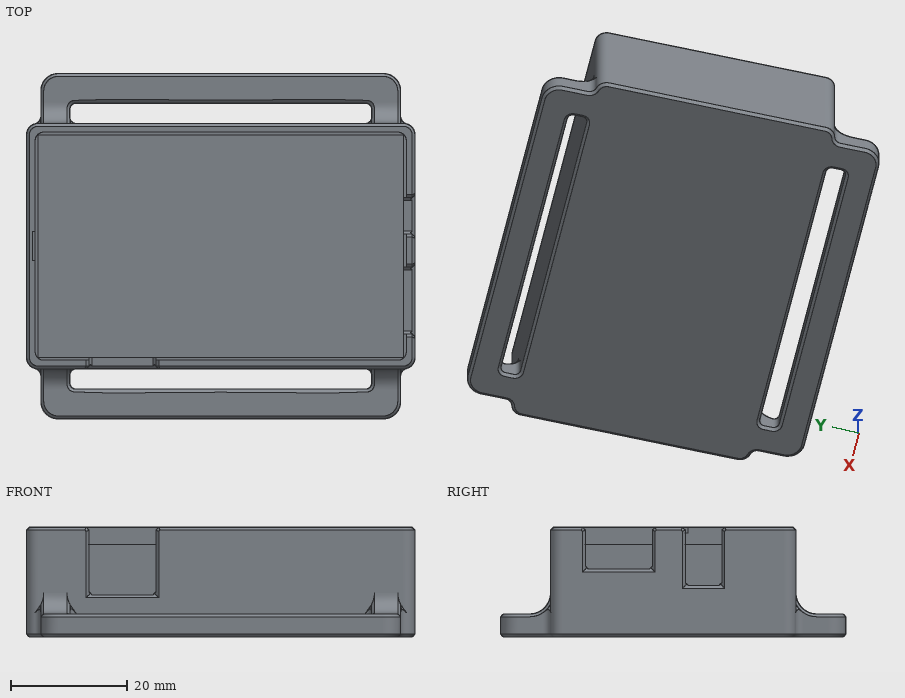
import cadquery as cq
import math

LENGTH = 66.8
WIDTH = 42.2
HEIGHT = 18.9
CORNER_RADIUS = 2.0
WALL = 2.0
FLOOR = 1.5
BEVEL = 0.5

REBATE_INSET = 0.5
REBATE_DEPTH = 3.0
REBATE_CORNER_RADIUS = 1.5
PRY_NOTCH_INSET = 0.5
PRY_NOTCH_WIDTH = 5.0
PRY_NOTCH_DEPTH = 1.0

FRONT_OPENING = (-22.65, -11.15, 7.3)
SIDE_OPENINGS = ((-15.1, -3.6, 11.7), (2.1, 8.35, 8.9))

LOOP_SPAN_Y = 59.4
LOOP_LENGTH = 61.85
LOOP_HEIGHT = 4.0
LOOP_CORNER_RADIUS = 3.0
SLOT_LENGTH = 51.85
LOOP_BAR_WIDTH = 5.15
SLOT_CORNER_RADIUS = 1.0
ARM_SWEEP_RADIUS = 3.55
OUTER_ROOT_RADIUS = 1.35
ROOT_TIP_HEIGHT = 4.15

HALF_LENGTH = LENGTH / 2
HALF_WIDTH = WIDTH / 2
SWEEP_CENTRE = (HALF_WIDTH + ARM_SWEEP_RADIUS, LOOP_HEIGHT + ARM_SWEEP_RADIUS)
BEVEL_SWEEP_RADIUS = ARM_SWEEP_RADIUS + BEVEL
CUT_PAST = 3.35
TOLERANCE = 0.01
EMBED = WALL / 2


def rounded_block(length, width, height, radius):
    return cq.Workplane().rect(length, width).extrude(height).edges("|Z").fillet(radius)


def opening_cutter(start, end, sill, depth):
    """Opening in the XZ plane, flared at the rim and reaching from Y = 0 toward -Y."""
    top = HEIGHT + CUT_PAST
    flare = BEVEL + CUT_PAST
    return (
        cq.Workplane("XZ")
        .polyline([
            (start, sill),
            (end, sill),
            (end, HEIGHT - BEVEL),
            (end + flare, top),
            (start - flare, top),
            (start, HEIGHT - BEVEL),
        ])
        .close()
        .extrude(depth)
    )


def is_outside_edge(edge):
    """True for edges above the base that lie on the outer wall faces."""
    if edge.BoundingBox().zmin < BEVEL:
        return False
    return all(
        abs(abs(corner.X) - HALF_LENGTH) < TOLERANCE or abs(abs(corner.Y) - HALF_WIDTH) < TOLERANCE
        for corner in edge.Vertices()
    )


def is_sill_corner(edge):
    """True for the edges through the wall at both ends of an opening's sill."""
    sills = [FRONT_OPENING[2]] + [opening[2] for opening in SIDE_OPENINGS]
    at_sill = any(abs(edge.Center().z - sill) < TOLERANCE for sill in sills)
    return at_sill and edge.Length() < WALL


def build_case():
    """Open box with bevelled rim and connector openings."""
    case = rounded_block(LENGTH, WIDTH, HEIGHT, CORNER_RADIUS)
    inset = WALL + CUT_PAST
    depth = inset + CUT_PAST
    front_cutter = opening_cutter(*FRONT_OPENING, depth)
    case = case.cut(front_cutter.translate((0, inset - HALF_WIDTH, 0)))
    for opening in SIDE_OPENINGS:
        side_cutter = opening_cutter(*opening, depth).rotate((0, 0, 0), (0, 0, 1), 90)
        case = case.cut(side_cutter.translate((HALF_LENGTH - inset, 0, 0)))
    rim_and_openings = [edge for edge in case.edges().vals() if is_outside_edge(edge)]
    case = case.newObject(rim_and_openings).chamfer(BEVEL)
    case = case.cut(build_cavity())
    sill_corners = [edge for edge in case.edges("|X or |Y").vals() if is_sill_corner(edge)]
    return case.newObject(sill_corners).chamfer(BEVEL)


def build_cavity():
    """Inside of the case, with the rebate and pry notch at the rim."""
    cavity_length = LENGTH - 2 * WALL
    cavity_width = WIDTH - 2 * WALL
    cavity = (
        cq.Workplane(origin=(0, 0, FLOOR))
        .rect(cavity_length, cavity_width)
        .extrude(HEIGHT - FLOOR)
    )
    rebate_length = cavity_length + 2 * REBATE_INSET
    rebate_width = cavity_width + 2 * REBATE_INSET
    rebate = rounded_block(rebate_length, rebate_width, REBATE_DEPTH, REBATE_CORNER_RADIUS)
    cavity = cavity.union(rebate.translate((0, 0, HEIGHT - REBATE_DEPTH)))
    pry_notch = (
        cq.Workplane(origin=(-rebate_length / 2, 0, HEIGHT))
        .rect(2 * PRY_NOTCH_INSET, PRY_NOTCH_WIDTH)
        .extrude(-PRY_NOTCH_DEPTH)
    )
    return cavity.union(pry_notch)


def is_loop_top_outline(edge):
    """True for the upper edges of a loop, except the seams that run across its arms."""
    box = edge.BoundingBox()
    arm_width = (LOOP_LENGTH - SLOT_LENGTH) / 2
    crosses_arm = abs(box.xlen - arm_width) < TOLERANCE and edge.geomType() == "LINE"
    return box.zmin > LOOP_HEIGHT - TOLERANCE and not crosses_arm


def bevelled_sweep_height(y):
    """Height of the lower edge of the bevel along an arm's sweep."""
    return SWEEP_CENTRE[1] - math.sqrt(BEVEL_SWEEP_RADIUS**2 - (SWEEP_CENTRE[0] - y) ** 2)


def root_slope_cutter(arm_x, tip_x, start_y):
    """Half-space above the plane on which a root falls away from the arm to its tip on the wall."""
    wall_height = bevelled_sweep_height(HALF_WIDTH)
    slope_x = (wall_height - ROOT_TIP_HEIGHT) / (arm_x - tip_x)
    slope_y = (bevelled_sweep_height(start_y) - wall_height) / (start_y - HALF_WIDTH)
    slope_plane = cq.Plane(
        origin=(arm_x, HALF_WIDTH, wall_height),
        xDir=(1, 0, slope_x),
        normal=(-slope_x, -slope_y, 1),
    )
    return cq.Workplane(slope_plane).rect(HEIGHT, HEIGHT).extrude(2 * HEIGHT)


def build_arm_roots():
    """Fillets in plan where the sides of both arms meet the case, sloping away from the arms."""
    embedded_y = HALF_WIDTH - EMBED
    inner_x = SLOT_LENGTH / 2
    outer_x = LOOP_LENGTH / 2
    overlap_x = BEVEL

    inner_tip_x = inner_x - SLOT_CORNER_RADIUS
    inner_start_y = HALF_WIDTH + SLOT_CORNER_RADIUS
    inner_mid = SLOT_CORNER_RADIUS * (1 - math.sqrt(0.5))
    inner_plan = (
        cq.Workplane()
        .moveTo(inner_x, inner_start_y)
        .threePointArc((inner_x - inner_mid, HALF_WIDTH + inner_mid), (inner_tip_x, HALF_WIDTH))
        .lineTo(inner_tip_x, embedded_y)
        .lineTo(inner_x + overlap_x, embedded_y)
        .lineTo(inner_x + overlap_x, inner_start_y)
        .close()
        .extrude(SWEEP_CENTRE[1])
    )

    corner_x = HALF_LENGTH - CORNER_RADIUS
    corner_y = HALF_WIDTH - CORNER_RADIUS
    root_x = outer_x + OUTER_ROOT_RADIUS
    centre_gap = CORNER_RADIUS + OUTER_ROOT_RADIUS
    root_y = corner_y + math.sqrt(centre_gap**2 - (root_x - corner_x) ** 2)
    touch_share = CORNER_RADIUS / centre_gap
    touch_x = corner_x + (root_x - corner_x) * touch_share
    touch_y = corner_y + (root_y - corner_y) * touch_share
    mid_angle = (math.pi + math.atan2(touch_y - root_y, touch_x - root_x) % (2 * math.pi)) / 2
    outer_mid = (
        root_x + OUTER_ROOT_RADIUS * math.cos(mid_angle),
        root_y + OUTER_ROOT_RADIUS * math.sin(mid_angle),
    )
    outer_plan = (
        cq.Workplane()
        .moveTo(outer_x, root_y)
        .threePointArc(outer_mid, (touch_x, touch_y))
        .lineTo(touch_x, embedded_y)
        .lineTo(outer_x - overlap_x, embedded_y)
        .lineTo(outer_x - overlap_x, root_y)
        .close()
        .extrude(SWEEP_CENTRE[1])
    )

    sweep_core = (
        cq.Workplane("YZ")
        .pushPoints([SWEEP_CENTRE])
        .circle(BEVEL_SWEEP_RADIUS)
        .extrude(HALF_LENGTH)
    )
    roots = (
        inner_plan.cut(root_slope_cutter(inner_x, inner_tip_x, inner_start_y))
        .union(outer_plan.cut(root_slope_cutter(outer_x, touch_x, root_y)))
        .cut(sweep_core)
    )
    return roots.union(roots.mirror("YZ"))


def build_loop():
    """Strap loop beyond the +Y wall, its arms sweeping up to meet the wall."""
    outer_y = LOOP_SPAN_Y / 2
    inner_y = HALF_WIDTH - EMBED
    sweep_y, sweep_z = SWEEP_CENTRE
    sweep_mid = (
        sweep_y - ARM_SWEEP_RADIUS * math.sqrt(0.5),
        sweep_z - ARM_SWEEP_RADIUS * math.sqrt(0.5),
    )
    embedded_top = sweep_z + 2 * BEVEL

    loop = (
        cq.Workplane("YZ", origin=(-LOOP_LENGTH / 2, 0, 0))
        .moveTo(inner_y, 0)
        .lineTo(outer_y, 0)
        .lineTo(outer_y, LOOP_HEIGHT)
        .lineTo(sweep_y, LOOP_HEIGHT)
        .threePointArc(sweep_mid, (HALF_WIDTH, sweep_z))
        .lineTo(HALF_WIDTH, embedded_top)
        .lineTo(inner_y, embedded_top)
        .close()
        .extrude(LOOP_LENGTH)
    )
    loop = loop.edges("|Z and >Y").fillet(LOOP_CORNER_RADIUS)
    slot_width = outer_y - LOOP_BAR_WIDTH - inner_y
    slot = (
        cq.Workplane(origin=(0, inner_y + slot_width / 2, 0))
        .rect(SLOT_LENGTH, slot_width)
        .extrude(HEIGHT)
        .edges("|Z and >Y")
        .fillet(SLOT_CORNER_RADIUS)
    )
    loop = loop.cut(slot)
    top_outline = [edge for edge in loop.edges().vals() if is_loop_top_outline(edge)]
    loop = loop.newObject(top_outline).chamfer(BEVEL)
    return loop.union(build_arm_roots())


loop = build_loop()
result = build_case().union(loop).union(loop.mirror("XZ"))
result = result.faces("<Z").edges().chamfer(BEVEL)